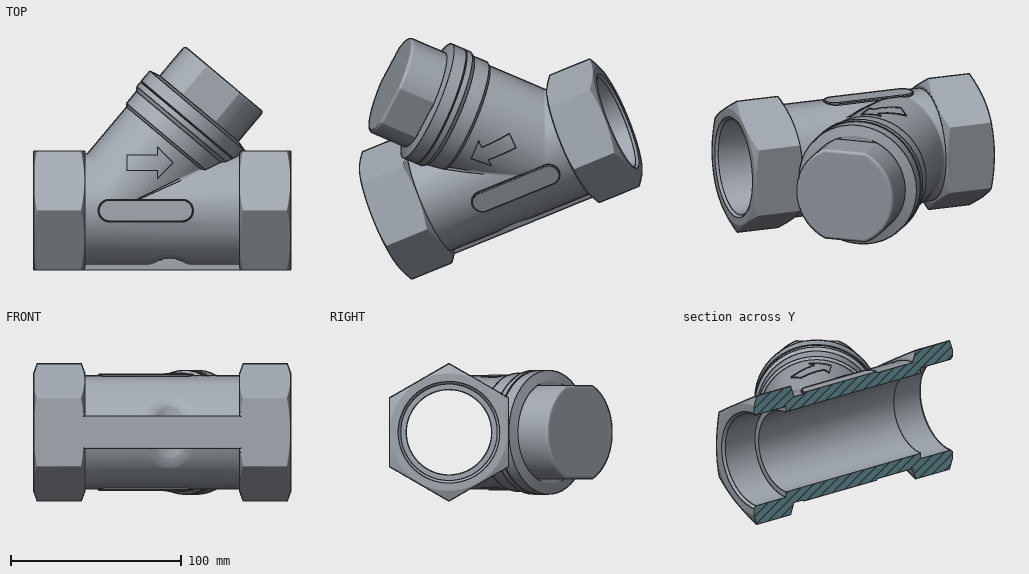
import cadquery as cq
import math

length = 151.0
body_radius = 33.3
bore_radius = 24.99
socket_radius = 28.31
socket_depth = 24.2
mouth_chamfer = 1.5

hex_height = 80.8
hex_half_flats = hex_height / 2 * math.cos(math.radians(30))
hex_length = 30.2
hex_face_radius = 34.5
hex_chamfer_angle = 20.0
hex_fillet = 0.5

rib_width = 19.0
rib_fillet = 0.5

hollow_x = 4.4
hollow_radius = 14.3
hollow_floor_y = -28.0
hollow_fillet = 9.8

branch_angle = 50.0
branch_x = -28.5
collar_radius = 34.7
flange_radius = 36.4
cap_radius = 30.0
collar_start = 51.5
collar_chamfer = 1.5
flange_start = 62.2
flange_chamfer = 2.3
joint_start = 68.0
joint_width = 0.8
joint_depth = 0.3
flange_edge = 76.4
cap_start = 78.0
cap_end = 100.7
cap_flats = 54.7
cap_rim_fillet = 1.7
cap_flat_fillet = 1.0
branch_root_fillet = 1.5

plate_x = -9.7
plate_length = 55.9
plate_width = 13.3
plate_top = 34.1
plate_chamfer = 0.6
arrow_x = -20.5
arrow_y = 28.1
arrow_length = 26.9
arrow_head_length = 9.0
arrow_head_width = 18.4
arrow_shaft_width = 9.0
arrow_height = 0.5

outer_reach = 45.3
selection_margin = 0.02


def x_cylinder(radius, start, depth):
    return cq.Workplane("YZ", origin=(start, 0, 0)).circle(radius).extrude(depth)


def branch_plane(distance):
    """Plane square to the branch axis, with its local Y along global Z."""
    angle = math.radians(branch_angle)
    direction = cq.Vector(math.cos(angle), math.sin(angle), 0)
    origin = cq.Vector(branch_x, 0, 0) + direction * distance
    across = (-math.sin(angle), math.cos(angle), 0)
    return cq.Plane(origin=origin, xDir=across, normal=direction)


def make_pipe():
    """Round pipe with the softened hollow on its -Y side."""
    pipe = x_cylinder(body_radius, -length / 2, length)
    cutter = (
        cq.Workplane("XY", origin=(hollow_x, hollow_floor_y - hollow_radius, -outer_reach))
        .circle(hollow_radius)
        .extrude(2 * outer_reach)
    )
    nearby = cq.selectors.BoxSelector(
        (hollow_x - hollow_radius, -outer_reach, -outer_reach),
        (hollow_x + hollow_radius, hollow_floor_y / 2, outer_reach),
    )
    return pipe.cut(cutter).edges(nearby).edges("not #X").fillet(hollow_fillet)


def make_hexagon(start):
    """Hexagonal end with corners on +Z and -Z, chamfered at both faces."""
    hexagon = (
        cq.Workplane("YZ", origin=(start, 0, 0))
        .transformed(rotate=(0, 0, 90))
        .polygon(6, hex_height)
        .extrude(hex_length)
    )
    corner_radius = hex_height / 2
    setback = (corner_radius - hex_face_radius) * math.tan(math.radians(hex_chamfer_angle))
    envelope = (
        cq.Workplane("XY")
        .moveTo(start, 0)
        .lineTo(start, hex_face_radius)
        .lineTo(start + setback, corner_radius)
        .lineTo(start + hex_length - setback, corner_radius)
        .lineTo(start + hex_length, hex_face_radius)
        .lineTo(start + hex_length, 0)
        .close()
        .revolve(360, (0, 0, 0), (1, 0, 0))
    )
    return hexagon.intersect(envelope).edges().fillet(hex_fillet)


def make_rib():
    rib_length = length - hex_length
    return (
        cq.Workplane("XY")
        .box(rib_length, hex_half_flats - bore_radius, rib_width)
        .translate((0, -(hex_half_flats + bore_radius) / 2, 0))
        .edges("<Y and |X")
        .fillet(rib_fillet)
    )


def branch_cylinder(radius, start, end):
    return cq.Workplane(branch_plane(start)).circle(radius).extrude(end - start)


def make_branch():
    """Turned branch and cap, the cap with two wrench flats facing +Z and -Z."""
    profile = [
        (0, 0),
        (body_radius, 0),
        (body_radius, collar_start),
        (collar_radius, collar_start + collar_chamfer),
        (collar_radius, flange_start),
        (flange_radius, flange_start + flange_chamfer),
        (flange_radius, joint_start),
        (flange_radius - joint_depth, joint_start + joint_width / 2),
        (flange_radius, joint_start + joint_width),
        (flange_radius, flange_edge),
        (cap_radius, cap_start),
        (cap_radius, cap_end),
        (0, cap_end),
    ]
    base = branch_plane(0)
    side = cq.Plane(origin=base.origin, xDir=base.xDir, normal=base.xDir.cross(base.zDir))
    branch = cq.Workplane(side).polyline(profile).close().revolve(360, (0, 0, 0), (0, 1, 0))
    flat_cutter_y = (cap_flats + outer_reach) / 2
    flats = (
        cq.Workplane(branch_plane(cap_start))
        .pushPoints([(0, flat_cutter_y), (0, -flat_cutter_y)])
        .rect(2 * outer_reach, outer_reach)
        .extrude(outer_reach)
    )
    axis = base.zDir
    rim = cq.selectors.DirectionMinMaxSelector(axis, True)
    flat_sides = cq.selectors.ParallelDirSelector(axis)
    branch = branch.cut(flats)
    return branch.edges(flat_sides).fillet(cap_flat_fillet).faces(rim).edges().fillet(cap_rim_fillet)


def make_plate():
    """Raised rounded label plate on the +Z side of the pipe."""
    return (
        cq.Workplane("XY")
        .center(plate_x, 0)
        .slot2D(plate_length, plate_width)
        .extrude(plate_top)
        .faces(">Z")
        .chamfer(plate_chamfer)
    )


def make_arrow():
    """Flow arrow on the +Z side, raised evenly over the branch surface."""
    shaft_length = arrow_length - arrow_head_length
    shaft_half = arrow_shaft_width / 2
    head_half = arrow_head_width / 2
    arrow = (
        cq.Workplane("XY", origin=(arrow_x, arrow_y, 0))
        .polyline([
            (0, shaft_half),
            (shaft_length, shaft_half),
            (shaft_length, head_half),
            (arrow_length, 0),
            (shaft_length, -head_half),
            (shaft_length, -shaft_half),
            (0, -shaft_half),
        ])
        .close()
        .extrude(outer_reach)
    )
    return arrow.intersect(branch_cylinder(body_radius + arrow_height, 0, collar_start))


def make_bore():
    """Through bore with a wider, chamfered socket at each end."""
    bore = x_cylinder(bore_radius, -length / 2, length)
    mouth_radius = socket_radius + mouth_chamfer
    socket = (
        cq.Workplane("XY")
        .moveTo(-length / 2, 0)
        .lineTo(-length / 2, mouth_radius)
        .lineTo(-length / 2 + mouth_chamfer, socket_radius)
        .lineTo(-length / 2 + socket_depth, socket_radius)
        .lineTo(-length / 2 + socket_depth, 0)
        .close()
        .revolve(360, (0, 0, 0), (1, 0, 0))
    )
    return bore.union(socket).union(socket.mirror("YZ"))


def make_body():
    """Pipe, rib and branch joined, with their inner corners rounded."""
    body = make_pipe().union(make_rib())
    for side_z in (-rib_width / 2, rib_width / 2):
        rib_roots = cq.selectors.BoxSelector(
            (-length, -body_radius, side_z - selection_margin),
            (length, hollow_floor_y, side_z + selection_margin),
        )
        body = body.edges(rib_roots).edges("not(|Y)").fillet(rib_fillet)
    return body.union(make_branch()).edges("%ELLIPSE").fillet(branch_root_fillet)


result = make_body()
for hex_start in (-length / 2, length / 2 - hex_length):
    result = result.union(make_hexagon(hex_start))
for marking in (make_plate(), make_arrow()):
    result = result.union(marking).union(marking.mirror("XY"))
result = result.cut(make_bore())